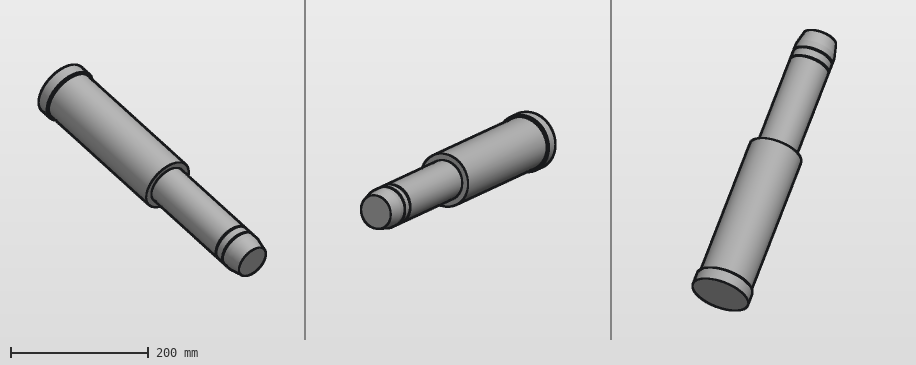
import cadquery as cq

total_length = 441.0
head_length = 20.5
body_end = 244.8
nose_start = 420.0

head_diameter = 86.0
body_diameter = 80.0
pin_diameter = 60.0
nose_diameter = 50.3

head_chamfer = 1.5
body_lead_length = 5.0
body_lead_depth = 0.15

groove_starts = (393.0, 408.0)
groove_width = 1.5
groove_depth = 0.2

head_radius = head_diameter / 2
body_radius = body_diameter / 2
pin_radius = pin_diameter / 2
nose_radius = nose_diameter / 2

profile = (
    cq.Workplane("XY")
    .moveTo(0, 0)
    .lineTo(0, head_radius)
    .lineTo(head_length - head_chamfer, head_radius)
    .lineTo(head_length, head_radius - head_chamfer)
    .lineTo(head_length, body_radius)
    .lineTo(body_end - body_lead_length, body_radius)
    .lineTo(body_end, body_radius - body_lead_depth)
    .lineTo(body_end, pin_radius)
    .lineTo(nose_start, pin_radius)
    .lineTo(total_length, nose_radius)
    .lineTo(total_length, 0)
    .close()
)
result = profile.revolve(360, (0, 0, 0), (1, 0, 0))


def ring_groove(start):
    """Ring of material to remove from the pin, beginning at the given axial station."""
    return (
        cq.Workplane("YZ", origin=(start, 0, 0))
        .circle(body_radius)
        .circle(pin_radius - groove_depth)
        .extrude(groove_width)
    )


for groove_start in groove_starts:
    result = result.cut(ring_groove(groove_start))